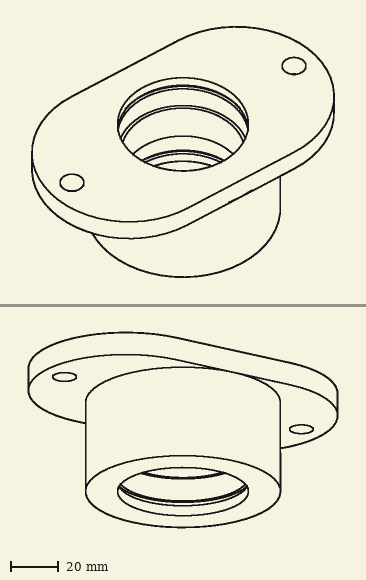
import cadquery as cq

barrel_diameter = 82.0
barrel_height = 50.0
flange_length = 138.0
flange_thickness = 10.0

bolt_hole_diameter = 10.0
bolt_hole_spacing = 116.0

shoulder_diameter = 52.0
seat_diameter = 55.0
bearing_width = 10.0

groove_diameter = 58.0
groove_width = 2.15
groove_setback = 4.5
seat_depth = groove_setback + groove_width + bearing_width


def cylinder_down(diameter, top, height):
    """Cylinder on the Z axis, running down from the given level."""
    return cq.Workplane("XY").workplane(offset=top).circle(diameter / 2).extrude(-height)


def make_flange():
    """Oblong plate with full-round ends and two through holes."""
    plate = cq.Workplane("XY").slot2D(flange_length, barrel_diameter, angle=90).extrude(-flange_thickness)
    hole_centres = [(0, -bolt_hole_spacing / 2), (0, bolt_hole_spacing / 2)]
    holes = (
        cq.Workplane("XY")
        .pushPoints(hole_centres)
        .circle(bolt_hole_diameter / 2)
        .extrude(-flange_thickness)
    )
    return plate.cut(holes)


def make_bore():
    """Solid filling the stepped bore, with its two grooved bearing seats."""
    shoulder = cylinder_down(shoulder_diameter, 0, barrel_height)
    seat = cylinder_down(seat_diameter, 0, seat_depth)
    groove = cylinder_down(groove_diameter, -groove_setback, groove_width)
    upper_end = seat.union(groove)
    lower_end = upper_end.mirror("XY", (0, 0, -barrel_height / 2))
    return shoulder.union(upper_end).union(lower_end)


barrel = cylinder_down(barrel_diameter, 0, barrel_height)
result = make_flange().union(barrel).cut(make_bore())